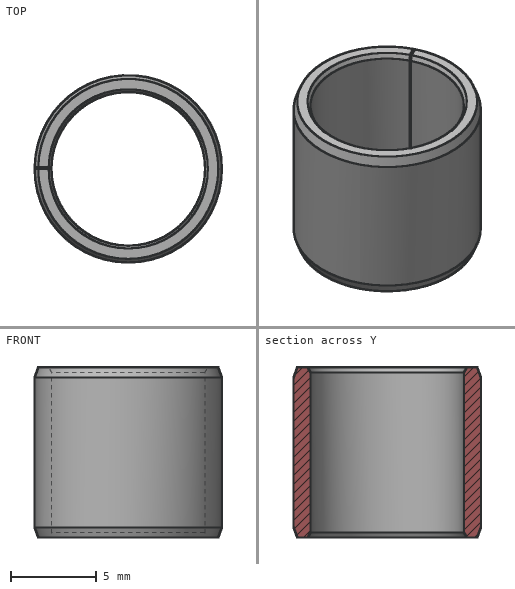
import cadquery as cq
import math

outer_diameter = 11.0
length = 10.0
wall = 1.0
outer_chamfer_height = 0.6
outer_chamfer_angle = 20.0
inner_chamfer_height = 0.3
inner_chamfer_angle = 30.0
slit_width = 0.1

outer_radius = outer_diameter / 2
inner_radius = outer_radius - wall
half_length = length / 2
outer_chamfer_depth = outer_chamfer_height * math.tan(math.radians(outer_chamfer_angle))
inner_chamfer_depth = inner_chamfer_height * math.tan(math.radians(inner_chamfer_angle))


def bushing_sleeve():
    """Revolve the wall section, chamfered at all four corners."""
    outer_edge = half_length - outer_chamfer_height
    inner_edge = half_length - inner_chamfer_height
    end_outer_radius = outer_radius - outer_chamfer_depth
    end_inner_radius = inner_radius + inner_chamfer_depth
    section = [
        (inner_radius, -inner_edge),
        (end_inner_radius, -half_length),
        (end_outer_radius, -half_length),
        (outer_radius, -outer_edge),
        (outer_radius, outer_edge),
        (end_outer_radius, half_length),
        (end_inner_radius, half_length),
        (inner_radius, inner_edge),
    ]
    return cq.Workplane("XZ").polyline(section).close().revolve(360, (0, 0, 0), (0, 1, 0))


def slit_cutter():
    """Full-length slit through the -X wall, with one face on the Y = 0 plane."""
    return cq.Workplane("XY").box(
        outer_radius, slit_width, length, centered=(False, False, True)
    ).translate((-outer_radius, 0, 0))


result = bushing_sleeve().cut(slit_cutter())